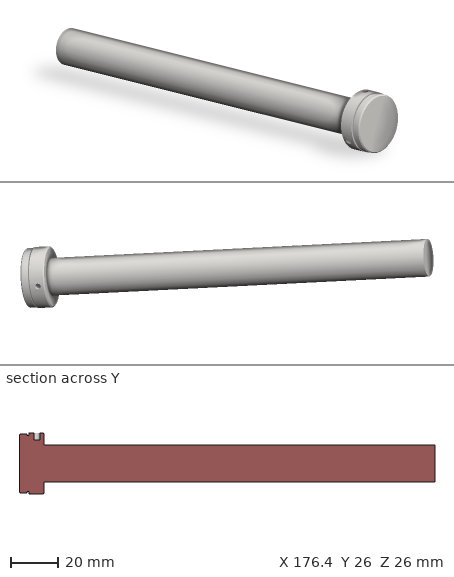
import cadquery as cq

total_length = 176.4
rod_diameter = 16.0

flange_diameter = 26.0
flange_length = 6.5
groove_diameter = 24.0
groove_width = 0.6
collar_diameter = 25.4
collar_length = 3.4
rim_chamfer = 0.5

hole_count = 3
hole_diameter = 2.5
hole_depth = 3.0
hole_inset = 3.0
first_hole_angle = 2.0

collar_start = total_length - collar_length
groove_start = collar_start - groove_width
flange_start = groove_start - flange_length


def cylinder(start_x, length, diameter):
    """Cylinder running along +X from start_x."""
    return cq.Workplane("YZ", origin=(start_x, 0, 0)).circle(diameter / 2).extrude(length)


def make_head():
    """Flange and collar with chamfered outer rims, separated by a narrow groove."""
    flange = cylinder(flange_start, flange_length, flange_diameter)
    flange = flange.faces("<X").edges().chamfer(rim_chamfer)
    groove_core = cylinder(groove_start, groove_width, groove_diameter)
    collar = cylinder(collar_start, collar_length, collar_diameter)
    collar = collar.faces(">X").edges().chamfer(rim_chamfer)
    return flange.union(groove_core).union(collar)


def radial_hole(angle):
    """Cutter for one flat-bottomed radial hole, turned about X from +Z towards -Y."""
    hole_bottom = flange_diameter / 2 - hole_depth
    bottom_plane = cq.Workplane("XY", origin=(flange_start + hole_inset, 0, hole_bottom))
    cutter = bottom_plane.circle(hole_diameter / 2).extrude(2 * hole_depth)
    return cutter.rotate((0, 0, 0), (1, 0, 0), angle)


result = cylinder(0, flange_start, rod_diameter).union(make_head())
for index in range(hole_count):
    result = result.cut(radial_hole(first_hole_angle + index * 360 / hole_count))